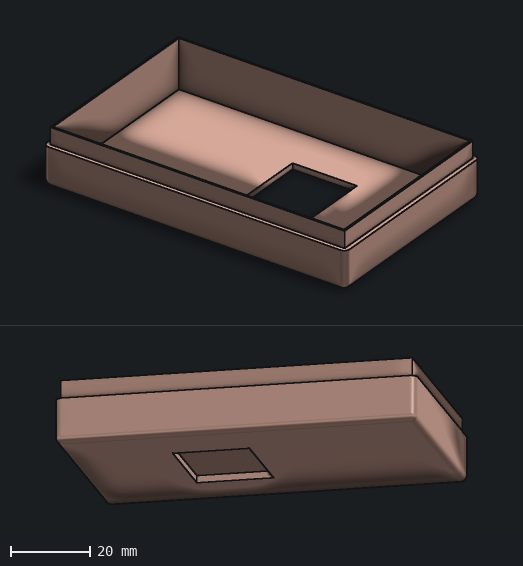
import cadquery as cq

length = 93.6
width = 58.6
total_height = 16.8
lip_height = 5.1
body_height = total_height - lip_height
edge_radius = 1.8

lip_setback = 1.3
lip_thickness = 0.515
floor_thickness = 1.9
wall = lip_setback + lip_thickness

window_length = 19.8
window_width = 27.1
window_center_x = 9.9
window_center_y = 0.0


def block(size_x, size_y, bottom, top):
    """Rectangular block centred on the Z axis between two heights."""
    return (
        cq.Workplane("XY")
        .workplane(offset=bottom)
        .rect(size_x, size_y)
        .extrude(top - bottom)
    )


body = block(length, width, 0, body_height)
body = body.edges("|Z or <Z").fillet(edge_radius)

lip = block(length - 2 * lip_setback, width - 2 * lip_setback, floor_thickness, total_height)

cavity = block(length - 2 * wall, width - 2 * wall, floor_thickness, total_height)
window = block(window_length, window_width, 0, floor_thickness).translate(
    (window_center_x, window_center_y, 0)
)

result = body.union(lip).cut(cavity).cut(window)